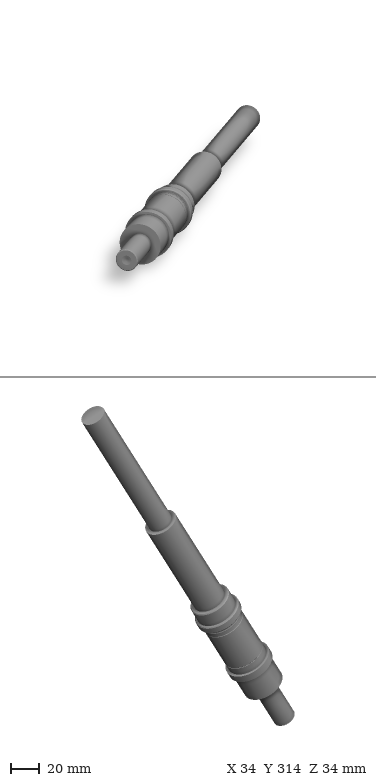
import cadquery as cq


PIN_TIP = 0.0
FRONT_HOUSING_START = 35.2
FRONT_COLLAR_START = 54.0
FRONT_BAND_START = 63.5
NUT_START = 67.5
SPACER_START = 100.5
REAR_COLLAR_START = 104.2
END_CAP_START = 113.7
SLEEVE_START = 123.5
SLEEVE_END = 203.2
CABLE_END = 314.0

PIN_DIAMETER = 16.0
CABLE_DIAMETER = 18.0
SLEEVE_DIAMETER = 24.0
HOUSING_DIAMETER = 29.8
FLANGE_DIAMETER = 34.0

FLANGE_WIDTH = 5.5
FLANGE_SETBACK = 2.0

NOSE_DIAMETER = 29.5
NOSE_LENGTH = 1.0

EDGE_CHAMFER = 0.5

DIMPLE_DIAMETER = 7.0
DIMPLE_DEPTH = 1.0


def disc(diameter, start, end):
    """Solid cylinder about the Y axis between two stations."""
    section = cq.Plane(origin=(0, start, 0), xDir=(0, 0, 1), normal=(0, 1, 0))
    return cq.Workplane(section).circle(diameter / 2).extrude(end - start)


def ring(outer_diameter, bore_diameter, start, end):
    """Cylinder with a through bore."""
    return disc(outer_diameter, start, end).cut(disc(bore_diameter, start, end))


def connector_ring(start, end):
    """Plain connector section that fits around the pin."""
    return ring(HOUSING_DIAMETER, PIN_DIAMETER, start, end)


def chamfer_rim(body, end_faces):
    """Chamfer the outer rim of the chosen end faces."""
    rim = cq.selectors.RadiusNthSelector(-1)
    return body.faces(end_faces).edges(rim).chamfer(EDGE_CHAMFER)


def make_flange(start):
    return ring(FLANGE_DIAMETER, PIN_DIAMETER, start, start + FLANGE_WIDTH)


def make_pin():
    """Pin through the whole connector, chamfered and dimpled at its tip."""
    dimple = (
        cq.Workplane("XY")
        .moveTo(0, PIN_TIP)
        .lineTo(DIMPLE_DIAMETER / 2, PIN_TIP)
        .lineTo(0, PIN_TIP + DIMPLE_DEPTH)
        .close()
        .revolve(360, (0, 0, 0), (0, 1, 0))
    )
    return chamfer_rim(disc(PIN_DIAMETER, PIN_TIP, SLEEVE_START), "<Y").cut(dimple)


def make_front_collar():
    body = connector_ring(FRONT_COLLAR_START, FRONT_BAND_START)
    return body.union(make_flange(FRONT_COLLAR_START + FLANGE_SETBACK))


def make_rear_collar():
    """Collar with a stepped nose and a flange chamfered on both rims."""
    nose_end = REAR_COLLAR_START + NOSE_LENGTH
    nose = ring(NOSE_DIAMETER, PIN_DIAMETER, REAR_COLLAR_START, nose_end)
    body = connector_ring(nose_end, END_CAP_START)
    flange = make_flange(END_CAP_START - FLANGE_SETBACK - FLANGE_WIDTH)
    return body.union(nose).union(chamfer_rim(flange, "<Y or >Y"))


pin = make_pin()
front_housing = connector_ring(FRONT_HOUSING_START, FRONT_COLLAR_START)
front_collar = make_front_collar()
front_band = connector_ring(FRONT_BAND_START, NUT_START)
nut = chamfer_rim(connector_ring(NUT_START, SPACER_START), "<Y or >Y")
spacer = chamfer_rim(connector_ring(SPACER_START, REAR_COLLAR_START), ">Y")
rear_collar = make_rear_collar()
end_cap = chamfer_rim(connector_ring(END_CAP_START, SLEEVE_START), ">Y")
sleeve = ring(SLEEVE_DIAMETER, CABLE_DIAMETER, SLEEVE_START, SLEEVE_END)
cable = disc(CABLE_DIAMETER, SLEEVE_START, CABLE_END)

bodies = [
    pin,
    front_housing,
    front_collar,
    front_band,
    nut,
    spacer,
    rear_collar,
    end_cap,
    sleeve,
    cable,
]
result = cq.Compound.makeCompound([body.solids().val() for body in bodies])